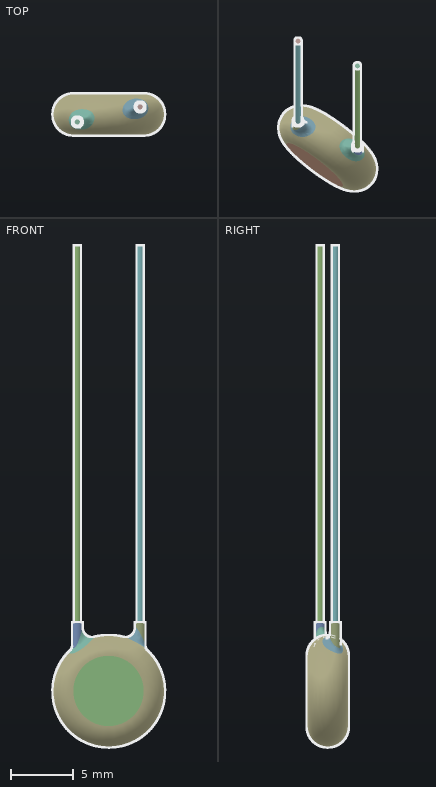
import cadquery as cq

body_diameter = 9.0
body_thickness = 3.4
total_height = 40
body_radius = body_diameter / 2
rim_radius = body_thickness / 2
flat_radius = body_radius - rim_radius

lead_diameter = 0.6
lead_spacing = 5.0
lead_stagger = 1.2
sleeve_diameter = 0.9
sleeve_top = 10
sleeve_fillet = 0.8


def make_body():
    """Disc with a rounded rim, resting on Z = 0."""
    half_section = (
        cq.Workplane("YZ")
        .moveTo(-rim_radius, 0)
        .lineTo(-rim_radius, -flat_radius)
        .threePointArc((0, -body_radius), (rim_radius, -flat_radius))
        .lineTo(rim_radius, 0)
        .close()
    )
    disc = half_section.revolve(360, (0, 0, 0), (1, 0, 0))
    return disc.translate((0, 0, body_radius))


def vertical_rod(diameter, top):
    """Rod on the -X lead's axis, from the mid-height of the body up to the given height."""
    return (
        cq.Workplane("XY", origin=(-lead_spacing / 2, -lead_stagger / 2, body_radius))
        .circle(diameter / 2)
        .extrude(top - body_radius)
    )


def blend_sleeves(part):
    """Round the curved edges where the sleeves meet the rim."""
    return part.faces("%TORUS").edges("not(%CIRCLE or %LINE)").fillet(sleeve_fillet)


lead = vertical_rod(sleeve_diameter, sleeve_top).union(vertical_rod(lead_diameter, total_height))
opposite_lead = lead.rotate((0, 0, 0), (0, 0, 1), 180)

body_with_leads = make_body().union(lead).union(opposite_lead, clean=False)
result = blend_sleeves(body_with_leads)